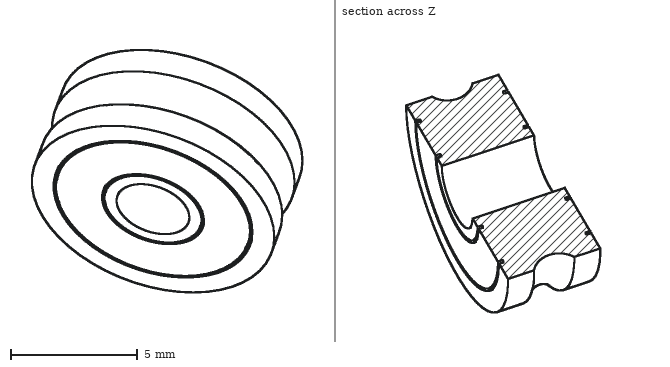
import cadquery as cq

outer_radius = 5.0
width = 4.0
bore_radius = 1.5

groove_radius = 1.0
groove_depth = 0.5

gap_width = 0.1
gap_depth = 0.2
inner_gap_radius = 2.0
outer_gap_radius = 4.0


def make_wheel():
    """Plain rim with a central bore."""
    return (
        cq.Workplane("XZ")
        .circle(outer_radius)
        .circle(bore_radius)
        .extrude(width / 2, both=True)
    )


def make_groove():
    """Torus that cuts the round groove around the rim."""
    centre_radius = outer_radius - groove_depth + groove_radius
    return (
        cq.Workplane("XY")
        .center(centre_radius, 0)
        .circle(groove_radius)
        .revolve(360, (-centre_radius, 0), (-centre_radius, 1))
    )


def make_gap(inside_radius):
    """Straight-walled ring, one gap deep, rising in -Y from the XZ plane."""
    return (
        cq.Workplane("XZ")
        .circle(inside_radius + gap_width)
        .circle(inside_radius)
        .extrude(gap_depth)
    )


result = make_wheel().cut(make_groove())
for gap_radius in (inner_gap_radius, outer_gap_radius):
    gap = make_gap(gap_radius)
    result = result.cut(gap.translate((0, width / 2, 0)))
    result = result.cut(gap.translate((0, gap_depth - width / 2, 0)))